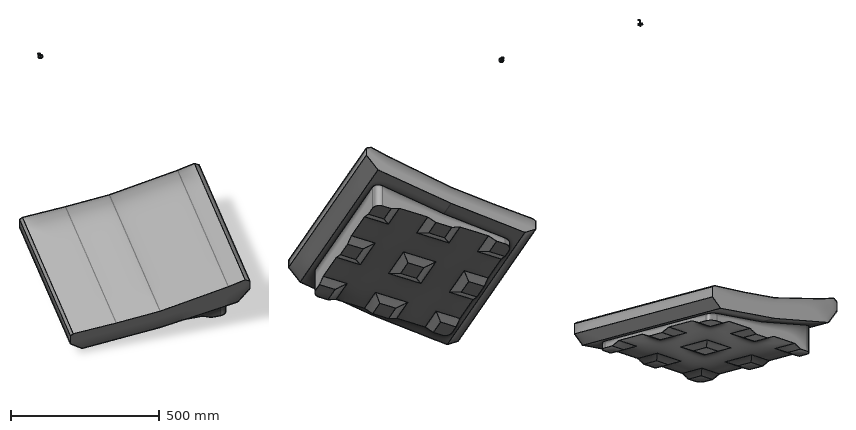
import cadquery as cq
import math

SEAT_WIDTH = 625.0
SEAT_DEPTH = 630.0
SEAT_BACK = SEAT_DEPTH / 2
SEAT_FRONT = -SEAT_BACK

BASE_SIDE = 508.0
BASE_CORNER_RADIUS = 26.0
BASE_TOP = 98.0
CHANNEL_HEIGHT = 13.0
CENTRE_FOOT_WIDTH = 59.0
OUTER_FOOT_WIDTH = 58.0
CHANNEL_RAMP = 31.0

TOTAL_HEIGHT = 1092.0
TOTAL_DEPTH = 655.0
HANDLE_FRONT = SEAT_BACK - TOTAL_DEPTH
HANDLE_TILT = 10
POST_DIAMETER = 4.0
POST_LENGTH = 20.0
POST_BELOW_DISC = 7.0
POST_Y = -331.0
DISC_DIAMETER = 16.0
DISC_THICKNESS = 4.0
DISC_Z = 1078.0
ARM_WIDTH = 4.0
ARM_THICKNESS = 2.0


def make_seat():
    """Dished slab with bevelled front and back edges."""
    profile = [
        (SEAT_BACK, 182.0),
        (298.0, 192.0),
        (239.0, 176.0),
        (0, 123.0),
        (-154.0, 107.0),
        (-305.0, 95.0),
        (SEAT_FRONT, 88.0),
        (SEAT_FRONT, 52.0),
        (-274.0, 22.0),
        (0, 50.0),
        (272.0, 99.0),
        (SEAT_BACK, 150.0),
    ]
    return cq.Workplane("YZ").polyline(profile).close().extrude(SEAT_WIDTH / 2, both=True)


def make_channel(plane, side):
    """Channel with sloping sides, on one side of the middle foot, through the whole base."""
    inner = CENTRE_FOOT_WIDTH / 2
    outer = BASE_SIDE / 2 - OUTER_FOOT_WIDTH
    section = [
        (side * inner, 0),
        (side * (inner + CHANNEL_RAMP), CHANNEL_HEIGHT),
        (side * (outer - CHANNEL_RAMP), CHANNEL_HEIGHT),
        (side * outer, 0),
    ]
    return cq.Workplane(plane).polyline(section).close().extrude(BASE_SIDE, both=True)


def make_base():
    """Round-cornered block standing on a grid of feet left by crossing channels."""
    base = (
        cq.Workplane("XY")
        .rect(BASE_SIDE, BASE_SIDE)
        .extrude(BASE_TOP)
        .edges("|Z")
        .fillet(BASE_CORNER_RADIUS)
    )
    for plane in ("XZ", "YZ"):
        for side in (-1, 1):
            base = base.cut(make_channel(plane, side))
    return base


def make_seat_with_base():
    """Seat and base in one piece."""
    return make_seat().union(make_base())


def make_handle():
    """Tipped post and disc, with a short flat arm reaching forward from the top of the post."""
    post = (
        cq.Workplane("XY", origin=(0, 0, -POST_BELOW_DISC))
        .circle(POST_DIAMETER / 2)
        .extrude(POST_LENGTH)
    )
    disc = cq.Workplane("XY").circle(DISC_DIAMETER / 2).extrude(DISC_THICKNESS / 2, both=True)
    stem = post.union(disc).rotate((0, 0, 0), (1, 0, 0), HANDLE_TILT).translate((0, POST_Y, DISC_Z))
    post_top_y = POST_Y - (POST_LENGTH - POST_BELOW_DISC) * math.sin(math.radians(HANDLE_TILT))
    arm = (
        cq.Workplane("XY", origin=(0, HANDLE_FRONT, TOTAL_HEIGHT - ARM_THICKNESS))
        .box(ARM_WIDTH, post_top_y - HANDLE_FRONT, ARM_THICKNESS, centered=(True, False, False))
    )
    return stem.union(arm)


seat_with_base = make_seat_with_base()
handle = make_handle()
result = cq.Compound.makeCompound([seat_with_base.val(), handle.val()])